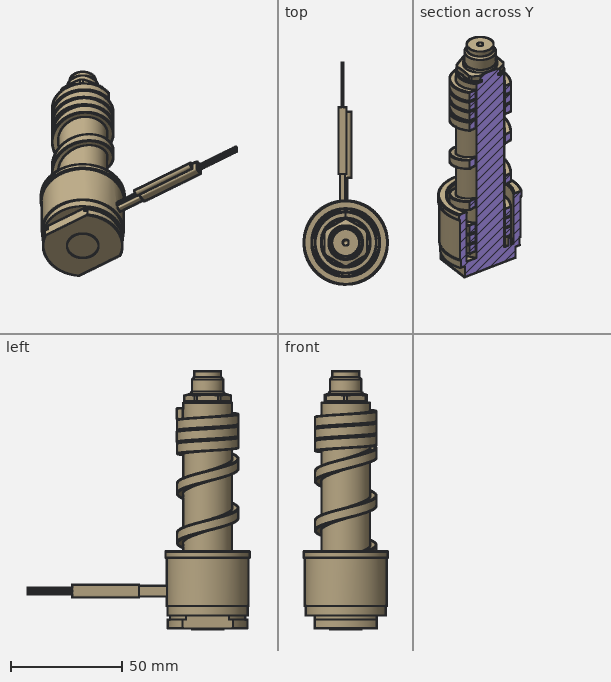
import cadquery as cq
import math

total_height = 116.2
seat_height = 0.3
base_groove_bottom = 4.3
lower_ring_bottom = 6.2
lower_ring_top = 10.5
flange_bottom = 32.0
body_top = 35.3

seat_radius = 7.1
base_radius = 18.0
base_groove_radius = 17.0
base_half_width = 14.0
lower_ring_radius = 18.1
body_radius = 18.5
flange_radius = 19.0
flange_chamfer = 0.4
base_chamfer = 0.3
recess_radius = 15.0
recess_chamfer = 0.5

tube_radius = 11.0
tube_top = 102.1
tube_chamfer = 0.3
nut_bottom = 102.7
nut_top = 106.0
nut_flats = 19.0
nut_corner_radius = 10.6
nut_crown_height = 0.8
nut_neck_radius = 9.0
collar_radius = 7.1
collar_foot_radius = 7.8
collar_foot_height = 1.0
collar_top = 112.35
tip_radius = 6.1
tip_foot_spread = 0.4
tip_foot_height = 0.65
center_hole_radius = 1.35
center_hole_angle = 90.0

spring_outer_radius = 13.9
spring_wire_height = 4.9
spring_edge_chamfer = 0.3
spring_inner_radius = 11.2
spring_seating = 0.3
closed_pitch = 5.25
open_pitch = 22.2
open_turns = 2.0
open_start_angle = -64.0
blend_sweep = 128.0
closed_sweep = 1106.0
spring_middle_height = 53.9
spring_curve_step = 15.0

lead_height = 17.2
cord_x = -1.45
cord_width = 2.4
cord_height = 5.0
cord_fillet = 0.4
sleeve_start = 30.8
sleeve_end = 61.0
sleeve_width = 3.8
sleeve_height = 5.8
sleeve_fillet = 0.8
wire_radius = 0.55
wire_spacing = 1.9
wire_end = 81.0
side_wire_x = 0.35
side_sleeve_x = 1.2
side_sleeve_radius = 1.45
side_sleeve_start = 29.1
side_sleeve_end = 58.9
lead_root = 17.0

open_sweep = 360.0 * open_turns
blend_pitch = (closed_pitch + open_pitch) / 2
spring_sweep = 2 * (closed_sweep + blend_sweep) + open_sweep
half_rise = (
    open_pitch * open_sweep / 2 + blend_pitch * blend_sweep + closed_pitch * closed_sweep
) / 360.0
spring_bottom = spring_middle_height - half_rise
spring_start_angle = open_start_angle - blend_sweep - closed_sweep
recess_floor = spring_bottom - spring_wire_height / 2 + spring_seating


def disc(radius, bottom, top):
    """Cylinder on the Z axis between two heights."""
    return cq.Workplane("XY").workplane(offset=bottom).circle(radius).extrude(top - bottom)


def make_base():
    """Seat disc, grooved base with two flats, and the lower ring."""
    foot = disc(base_radius, seat_height, base_groove_bottom).faces("<Z").chamfer(base_chamfer)
    base = foot.union(disc(base_groove_radius, base_groove_bottom, lower_ring_bottom))
    flats = cq.Workplane("XY").rect(2 * base_half_width, 2 * flange_radius).extrude(lower_ring_bottom)
    base = base.intersect(flats)
    base = base.union(disc(seat_radius, 0, base_groove_bottom))
    return base.union(disc(lower_ring_radius, lower_ring_bottom, lower_ring_top))


def make_cup():
    """Flanged cylinder with the open recess that holds the lower end of the spring."""
    flange = disc(flange_radius, flange_bottom, body_top).edges().chamfer(flange_chamfer)
    cup = make_base().union(disc(body_radius, lower_ring_top, flange_bottom)).union(flange)
    recess = disc(recess_radius, recess_floor, body_top)
    mouth = cq.Workplane("XY").workplane(offset=body_top - recess_chamfer)
    mouth = mouth.circle(recess_radius).workplane(offset=recess_chamfer)
    mouth = mouth.circle(recess_radius + recess_chamfer).loft()
    return cup.cut(recess).cut(mouth)


def make_nut():
    """Hexagonal nut with corners on +Y and -Y, trimmed round and coned down from the collar."""
    across_corners = nut_flats / math.cos(math.pi / 6)
    hexagon = cq.Workplane("XY").workplane(offset=nut_bottom)
    hexagon = hexagon.transformed(rotate=(0, 0, 90)).polygon(6, across_corners)
    hexagon = hexagon.extrude(nut_top - nut_bottom)
    envelope = (
        cq.Workplane("XZ")
        .moveTo(0, nut_bottom)
        .lineTo(nut_corner_radius, nut_bottom)
        .lineTo(nut_corner_radius, nut_top - nut_crown_height)
        .lineTo(collar_foot_radius, nut_top)
        .lineTo(0, nut_top)
        .close()
        .revolve(360, (0, 0), (0, 1))
    )
    return hexagon.intersect(envelope)


def make_tip():
    """Collar and narrower tip above the nut, with a conical centre hole."""
    foot_radius = tip_radius + tip_foot_spread
    foot_bottom = collar_top + collar_radius - foot_radius
    tip = (
        cq.Workplane("XZ")
        .moveTo(0, nut_top)
        .lineTo(collar_foot_radius, nut_top)
        .lineTo(collar_radius, nut_top + collar_foot_height)
        .lineTo(collar_radius, collar_top)
        .lineTo(foot_radius, foot_bottom)
        .lineTo(tip_radius, foot_bottom + tip_foot_height)
        .lineTo(tip_radius, total_height)
        .lineTo(0, total_height)
        .close()
        .revolve(360, (0, 0), (0, 1))
    )
    cone_depth = center_hole_radius / math.tan(math.radians(center_hole_angle / 2))
    cone = cq.Solid.makeCone(
        center_hole_radius, 0, cone_depth, cq.Vector(0, 0, total_height), cq.Vector(0, 0, -1)
    )
    return tip.cut(cq.Workplane(cone))


def make_stem():
    """Guide tube with the nut and tip stacked on it."""
    tube = disc(tube_radius, recess_floor, tube_top).faces(">Z").chamfer(tube_chamfer)
    neck = disc(nut_neck_radius, tube_top, nut_bottom)
    return tube.union(neck).union(make_nut()).union(make_tip())


def spring_height(turned):
    """Height of the wire's middle after turning by the given angle from the lower end."""
    from_middle = abs(turned - spring_sweep / 2)
    in_open = min(from_middle, open_sweep / 2)
    in_blend = min(max(from_middle - open_sweep / 2, 0), blend_sweep)
    in_closed = max(from_middle - open_sweep / 2 - blend_sweep, 0)
    mean_pitch = open_pitch + (closed_pitch - open_pitch) * in_blend / blend_sweep / 2
    rise = (open_pitch * in_open + mean_pitch * in_blend + closed_pitch * in_closed) / 360.0
    return spring_middle_height + math.copysign(rise, turned - spring_sweep / 2)


def spring_edge(radius, offset):
    """Spring-shaped curve at the given radius, offset vertically from the wire's middle."""
    steps = math.ceil(spring_sweep / spring_curve_step)
    points = []
    for step in range(steps + 1):
        turned = spring_sweep * step / steps
        angle = math.radians(spring_start_angle + turned)
        height = spring_height(turned) + offset
        points.append(cq.Vector(radius * math.cos(angle), radius * math.sin(angle), height))
    return cq.Edge.makeSpline(points)


def make_spring():
    """Rectangular wire, chamfered on its outer edges, wound round the tube with upright sections."""
    half_height = spring_wire_height / 2
    chamfer_radius = spring_outer_radius - spring_edge_chamfer
    chamfer_height = half_height - spring_edge_chamfer
    section = [
        (spring_inner_radius, -half_height),
        (chamfer_radius, -half_height),
        (spring_outer_radius, -chamfer_height),
        (spring_outer_radius, chamfer_height),
        (chamfer_radius, half_height),
        (spring_inner_radius, half_height),
    ]
    curves = [spring_edge(radius, offset) for radius, offset in section]
    neighbours = curves[1:] + curves[:1]
    faces = [cq.Face.makeRuledSurface(*pair) for pair in zip(curves, neighbours)]
    for end_points in (
        [curve.startPoint() for curve in curves],
        [curve.endPoint() for curve in curves],
    ):
        faces.append(cq.Face.makeFromWires(cq.Wire.makePolygon(end_points, close=True)))
    return cq.Workplane(cq.Solid.makeSolid(cq.Shell.makeShell(faces)))


def lead_bar(x, width, height, fillet, start, end):
    """Bar along +Y with rounded long edges."""
    bar = cq.Workplane("XY").box(width, end - start, height).edges("|Y").fillet(fillet)
    return bar.translate((x, (start + end) / 2, lead_height))


def lead_rod(x, z, radius, start, end):
    """Round rod along +Y."""
    rod = cq.Solid.makeCylinder(radius, end - start, cq.Vector(x, start, z), cq.Vector(0, 1, 0))
    return cq.Workplane(rod)


def make_leads():
    """Flat cord with its sleeve and two wires, and a second sleeved wire beside it."""
    leads = lead_bar(cord_x, cord_width, cord_height, cord_fillet, lead_root, sleeve_end)
    leads = leads.union(
        lead_bar(cord_x, sleeve_width, sleeve_height, sleeve_fillet, sleeve_start, sleeve_end)
    )
    for side in (-1, 1):
        wire_z = lead_height + side * wire_spacing / 2
        leads = leads.union(lead_rod(cord_x, wire_z, wire_radius, sleeve_start, wire_end))
    leads = leads.union(lead_rod(side_wire_x, lead_height, wire_radius, lead_root, side_sleeve_end))
    return leads.union(
        lead_rod(side_sleeve_x, lead_height, side_sleeve_radius, side_sleeve_start, side_sleeve_end)
    )


result = make_cup().union(make_stem()).union(make_spring()).union(make_leads())